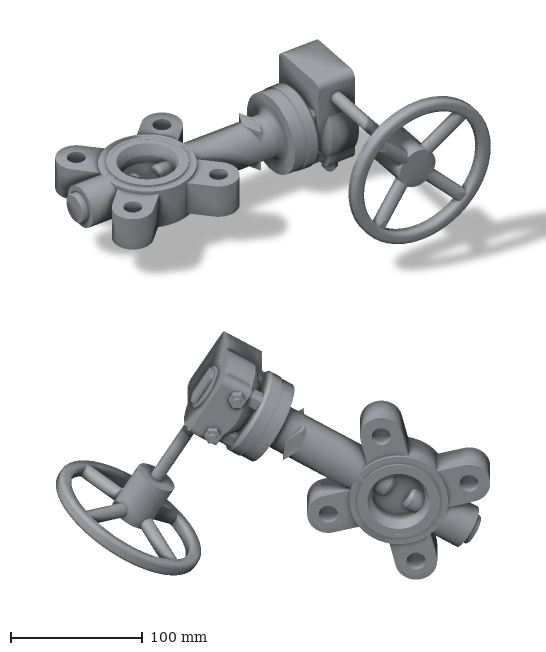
import cadquery as cq
import math


body_radius = 37.5
body_half_height = 16.85
face_radius = 31.4
face_half_height = 18.6
seat_radius = 28.6
seat_depth = 0.3

bore_mouth_radius = 23.6
bore_radius = 19.9
bore_mouth_depth = 8.8

bolt_circle_radius = 55.0
lug_radius = 16.0
lug_hole_radius = 7.2
lug_half_height = 14.1
lug_angles = (45, 135, 225, 315)

neck_radius = 17.2
neck_bottom = -60.9
neck_fillet = 5.8

end_cap_radius = 11.9
end_cap_bottom = -66.2
end_cap_chamfer = 0.8

disc_half_thickness = 3.0
stem_radius = 9.7
stem_gap_half = 7.5
stem_chamfer_length = 2.5
stem_chamfer_depth = 1.6

pad_y = 93.2
pad_half_length = 15.4
pad_half_width = 6.9
pad_half_height = 17.8
pad_rim_ratio = 0.73
pad_recess = 0.5

valve_flange_radius = 33.0
valve_flange_start = 112.1
flange_joint = 123.4
operator_flange_radius = 33.8
operator_flange_end = 134.3
operator_flange_chamfer = 2.0

case_half_width = 27.3
case_front = 137.3
case_back = 170.3
case_top = 51.4
case_bottom = -30.0
case_fillet = 6.0
drum_radius = 33.0
drum_front = 146.4

cover_radius = 17.7
cover_back = 171.9
indicator_radius = 14.8
indicator_half_height = 8.0
indicator_back = 174.8

mount_pad_offset = 18.1
mount_pad_width = 12.9
mount_pad_bevel = 2.6

clamp_nut_radius = 6.2
clamp_nut_offset_x = 17.9
clamp_nut_height = 5.5
clamp_stud_radius = 3.3
clamp_stud_bottom = -38.4

wheel_y = (case_front + case_back) / 2
wheel_z = 33.9
wheel_radius = 62.5
rim_depth = 10.0
rim_width = 10.8
rim_fillet = 3.2
wheel_right = 146.94
wheel_left = wheel_right - rim_width

shaft_radius = 5.0
hub_radius = 16.15
hub_left = 100.7
hub_right = 138.8

spoke_radius = 5.5
spoke_root_radius = 10.0
spoke_limit_x = wheel_right - rim_fillet / 2
spoke_start_x = 130.6
spoke_tilt = 11.2
spoke_angles = (45, 135, 225, 315)


def rod_y(radius, start, end):
    """Cylinder on the stem axis between two Y positions."""
    return cq.Workplane("XZ", origin=(0, start, 0)).circle(radius).extrude(start - end)


def rod_z(radius, half_height):
    """Cylinder on the flow axis, centred on the origin."""
    return cq.Workplane("XY").circle(radius).extrude(half_height, both=True)


def revolve_y(points):
    """Turn a (radius, y) outline about the stem axis."""
    return cq.Workplane("XY").polyline(points).close().revolve(360, (0, 0, 0), (0, 1, 0))


def box(x_range, y_range, z_range):
    size = [high - low for low, high in (x_range, y_range, z_range)]
    corner = (x_range[0], y_range[0], z_range[0])
    return cq.Workplane("XY").box(*size, centered=False).translate(corner)


def lug(angle):
    arm = cq.Workplane("XY").rect(bolt_circle_radius, 2 * lug_radius).extrude(lug_half_height, both=True)
    arm = arm.translate((bolt_circle_radius / 2, 0, 0))
    tip = rod_z(lug_radius, lug_half_height).translate((bolt_circle_radius, 0, 0))
    hole = rod_z(lug_hole_radius, lug_half_height).translate((bolt_circle_radius, 0, 0))
    return arm.union(tip).cut(hole).rotate((0, 0, 0), (0, 0, 1), angle)


def neck():
    """Stem housing with a rounded foot where it meets the valve flange."""
    fillet_start = valve_flange_start - neck_fillet
    fillet_centre_radius = neck_radius + neck_fillet
    fillet_reach = neck_fillet * math.sqrt(0.5)
    return (
        cq.Workplane("XY")
        .moveTo(0, neck_bottom)
        .lineTo(neck_radius, neck_bottom)
        .lineTo(neck_radius, fillet_start)
        .threePointArc(
            (fillet_centre_radius - fillet_reach, fillet_start + fillet_reach),
            (fillet_centre_radius, valve_flange_start),
        )
        .lineTo(valve_flange_radius, valve_flange_start)
        .lineTo(valve_flange_radius, flange_joint)
        .lineTo(0, flange_joint)
        .close()
        .revolve(360, (0, 0, 0), (0, 1, 0))
    )


def diamond(scale, half_height):
    length = pad_half_length * scale
    width = pad_half_width * scale
    corners = [(length, pad_y), (0, pad_y + width), (-length, pad_y), (0, pad_y - width)]
    return cq.Workplane("XY").polyline(corners).close().extrude(half_height, both=True)


def diamond_pads():
    """Diamond pads above and below the neck, each with a shallow recess inside a raised rim."""
    floor_height = pad_half_height - pad_recess
    rim = diamond(1, pad_half_height).cut(diamond(pad_rim_ratio, pad_half_height))
    return rim.union(diamond(pad_rim_ratio, floor_height))


def bore():
    """Through bore with a conical mouth and a shallow seat recess on both faces."""
    mouth_end = face_half_height - bore_mouth_depth
    mouth = (
        cq.Workplane("XZ")
        .polyline(
            [
                (0, mouth_end),
                (bore_radius, mouth_end),
                (bore_mouth_radius, face_half_height - seat_depth),
                (seat_radius, face_half_height - seat_depth),
                (seat_radius, face_half_height),
                (0, face_half_height),
            ]
        )
        .close()
        .revolve(360, (0, 0, 0), (0, 1, 0))
    )
    return rod_z(bore_radius, mouth_end).union(mouth).union(mouth.mirror("XY"))


def stem_end():
    """Upper stem end, from inside the bore wall to the gap across the disc."""
    chamfer_end = stem_gap_half + stem_chamfer_length
    return revolve_y(
        [
            (0, stem_gap_half),
            (stem_radius - stem_chamfer_depth, stem_gap_half),
            (stem_radius, chamfer_end),
            (stem_radius, face_radius),
            (0, face_radius),
        ]
    )


def disc_and_stem():
    inside = rod_z(bore_mouth_radius, stem_radius)
    stems = stem_end().union(stem_end().mirror("XZ")).intersect(inside)
    return rod_z(bore_radius, disc_half_thickness).union(stems)


def make_valve():
    valve = rod_z(body_radius, body_half_height).union(rod_z(face_radius, face_half_height))
    for angle in lug_angles:
        valve = valve.union(lug(angle))
    valve = valve.union(neck()).union(diamond_pads())
    end_cap = rod_y(end_cap_radius, neck_bottom, end_cap_bottom)
    valve = valve.union(end_cap.faces("<Y").chamfer(end_cap_chamfer))
    return valve.cut(bore()).union(disc_and_stem())


def gear_case():
    """Worm housing: a rounded block around a drum that tapers at 45 degrees to the flange."""
    width = (-case_half_width, case_half_width)
    block = box(width, (case_front, case_back), (case_bottom, case_top)).edges("|Y").fillet(case_fillet)
    lower_front = box(width, (case_front, drum_front), (case_bottom, 0))
    cone_end_radius = drum_radius - (drum_front - operator_flange_end)
    drum = revolve_y(
        [
            (0, operator_flange_end),
            (cone_end_radius, operator_flange_end),
            (drum_radius, drum_front),
            (drum_radius, case_back),
            (0, case_back),
        ]
    )
    above_bottom = box(
        (-drum_radius, drum_radius),
        (operator_flange_end, case_back),
        (case_bottom, drum_radius),
    )
    return block.cut(lower_front).union(drum.intersect(above_bottom))


def mount_pads():
    """Four square pads with bevelled corners, between the operator flange and the case."""
    offsets = (-mount_pad_offset, mount_pad_offset)
    points = [(x, z) for x in offsets for z in offsets]
    plane = cq.Workplane("XZ", origin=(0, operator_flange_end, 0))
    pads = plane.pushPoints(points).rect(mount_pad_width, mount_pad_width)
    return pads.extrude(operator_flange_end - drum_front).edges("|Y").chamfer(mount_pad_bevel)


def indicator():
    """Round indicator plate with flats above and below."""
    plate = rod_y(indicator_radius, cover_back, indicator_back)
    span = (-indicator_radius, indicator_radius)
    flats = (-indicator_half_height, indicator_half_height)
    return plate.intersect(box(span, (cover_back, indicator_back), flats))


def clamp_bolts():
    """Two nuts with stud ends under the case."""
    points = [(-clamp_nut_offset_x, wheel_y), (clamp_nut_offset_x, wheel_y)]
    plane = cq.Workplane("XY", origin=(0, 0, case_bottom))
    nuts = plane.pushPoints(points).polygon(6, 2 * clamp_nut_radius).extrude(-clamp_nut_height)
    studs = plane.pushPoints(points).circle(clamp_stud_radius).extrude(clamp_stud_bottom - case_bottom)
    return nuts.union(studs)


def wheel_rod(radius, start, end):
    """Cylinder on the handwheel axis between two X positions."""
    return cq.Workplane("YZ", origin=(start, wheel_y, wheel_z)).circle(radius).extrude(end - start)


def spoke(angle):
    """Round spoke leaning outward from the hub to the middle of the rim."""
    rod = cq.Workplane("XY").circle(spoke_radius).extrude(wheel_radius)
    rod = rod.rotate((0, 0, 0), (0, 1, 0), spoke_tilt).rotate((0, 0, 0), (1, 0, 0), angle)
    rod = rod.translate((spoke_start_x, wheel_y, wheel_z))
    span = wheel_rod(wheel_radius - rim_depth / 2, hub_left, spoke_limit_x)
    return rod.intersect(span.cut(wheel_rod(spoke_root_radius, hub_left, spoke_limit_x)))


def handwheel():
    rim = wheel_rod(wheel_radius, wheel_left, wheel_right)
    rim = rim.cut(wheel_rod(wheel_radius - rim_depth, wheel_left, wheel_right))
    wheel = rim.edges("%CIRCLE").fillet(rim_fillet)
    for angle in spoke_angles:
        wheel = wheel.union(spoke(angle))
    return wheel.union(wheel_rod(hub_radius, hub_left, hub_right))


def make_operator():
    flange = rod_y(operator_flange_radius, flange_joint, operator_flange_end)
    operator = flange.faces(">Y").chamfer(operator_flange_chamfer)
    operator = operator.union(gear_case()).union(mount_pads()).union(clamp_bolts())
    operator = operator.union(rod_y(cover_radius, case_back, cover_back))
    operator = operator.union(indicator())
    operator = operator.union(wheel_rod(shaft_radius, 0, hub_left))
    return operator.union(handwheel())


valve = make_valve()
gear_operator = make_operator()
result = cq.Compound.makeCompound([valve.solids().val(), gear_operator.solids().val()])